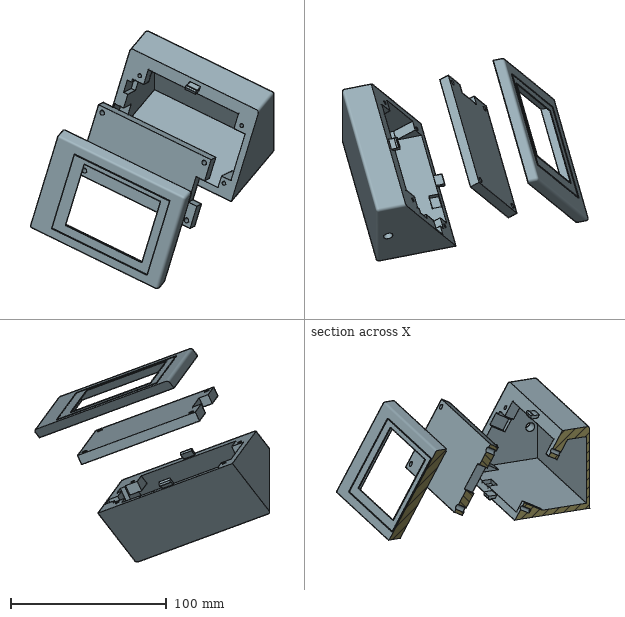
import cadquery as cq
import math

WIDTH = 98.0
HEIGHT = 57.4
TOTAL_DEPTH = 139.9
SLOPE = math.radians(60.0)
EDGE_RADIUS = 2.0
HALF_WIDTH = WIDTH / 2
SLOPE_RUN = HEIGHT / math.tan(SLOPE)

BOARD_LEFT = -41.4
BOARD_WIDTH = 85.9
BOARD_RIGHT = BOARD_LEFT + BOARD_WIDTH
BOARD_LENGTH = 50.2
BOARD_THICKNESS = 6.6
BOARD_TOP_Y = -69.2
BOARD_TOP_Z = 55.8
BOARD_HOLE_DIAMETER = 3.2
HOLE_INSET = 4.0
NOTCH_WIDTH = 6.6
NOTCH_LENGTH = 18.6
NOTCH_FROM_TOP = 15.4

HOUSING_DEPTH = 52.3
HOUSING_FRONT = -HOUSING_DEPTH
FLOOR_Z = 4.2
CEILING_Z = 50.2
BACK_WALL = 2.5

POST_WIDTH = 8.5
LOWER_RIGHT_POST_WIDTH = 7.1
UPPER_POST_DEPTH = 6.9
UPPER_POST_BOTTOM_Z = 40.8
LOWER_POST_TOP_Z = 11.5
SCREW_HOLE_DIAMETER = 2.5
SCREW_HOLE_DEPTH = UPPER_POST_DEPTH
SCREW_HOLE_HEIGHTS = (8.1, 44.6)

SIDE_SLOTS = ((-44.6, 31.2), (-48.1, 14.8))
SIDE_SLOT_RISE = 7.7
SIDE_SLOT_DEPTH = 10.5

CABLE_HOLE_DIAMETER = 6.0
CABLE_HOLE_Y = -7.5
CABLE_HOLE_Z = 26.5

POCKET_LEFT = -19.9
POCKET_WIDTH = 10.1
POCKET_BACK_Y = -43.6
POCKET_LENGTH = 6.5
POCKET_BOTTOM_Z = 1.3

HOOK_X = 1.3
HOOK_WIDTH = 8.0
HOOK_THICKNESS = 2.1
HOOK_ROOT_DEPTH = 2.8
BARB_LENGTH = 2.1
BARB_HEIGHT = 0.8
UPPER_HOOK_TOP_Z = 55.0
UPPER_HOOK_TIP_Y = -26.3
LOWER_HOOK_BOTTOM_Z = 1.8
LOWER_HOOK_TIP_Y = -55.8

COVER_FRONT = -TOTAL_DEPTH
COVER_THICKNESS = 7.0

PANEL_LEFT = -33.9
PANEL_RIGHT = 38.9
PANEL_BOTTOM_Z = 4.9
PANEL_TOP_Z = 51.6
PANEL_THICKNESS = 0.5
WINDOW_LEFT = -25.3
WINDOW_RIGHT = 32.9
WINDOW_BOTTOM_Z = 10.4
WINDOW_TOP_Z = 49.0


def slope_y(y_at_bottom, z):
    """Y of a sloped face at height z, given its Y at Z = 0."""
    return y_at_bottom + z / math.tan(SLOPE)


def level_thickness(thickness):
    """Thickness of a sloped plate measured along Y."""
    return thickness / math.sin(SLOPE)


def prism(points, x_min, x_max):
    """Extrude a Y-Z outline from x_min to x_max."""
    return cq.Workplane("YZ", origin=(x_min, 0, 0)).polyline(points).close().extrude(x_max - x_min)


def slope_plane(y, z):
    """Plane parallel to the sloped faces: local x along X, local y up the slope, normal outward."""
    return cq.Plane(origin=(0, y, z), xDir=(1, 0, 0), normal=(0, -math.sin(SLOPE), math.cos(SLOPE)))


def slope_block(y_at_bottom, x_min, x_max, z_min, z_max, depth):
    """Block sunk square into a sloped face, between two heights on that face."""
    length = (z_max - z_min) / math.sin(SLOPE)
    return (
        cq.Workplane(slope_plane(slope_y(y_at_bottom, z_min), z_min))
        .moveTo(x_min, 0)
        .rect(x_max - x_min, length, centered=False)
        .extrude(-depth)
    )


def sloped_plate(y_at_bottom, thickness, x_min, x_max, z_min, z_max):
    """Plate behind a sloped face, with level top and bottom edges."""
    front_low = slope_y(y_at_bottom, z_min)
    front_high = slope_y(y_at_bottom, z_max)
    run = level_thickness(thickness)
    outline = [(front_low, z_min), (front_low + run, z_min), (front_high + run, z_max), (front_high, z_max)]
    return prism(outline, x_min, x_max)


def housing_block():
    outline = [(0, 0), (HOUSING_FRONT, 0), (HOUSING_FRONT + SLOPE_RUN, HEIGHT), (0, HEIGHT)]
    block = prism(outline, -HALF_WIDTH, HALF_WIDTH)
    return block.edges("(>Y and |Z) or (>Y and >Z) or (>Z and (<X or >X))").fillet(EDGE_RADIUS)


def upper_post(x_min, x_max):
    return slope_block(HOUSING_FRONT, x_min, x_max, UPPER_POST_BOTTOM_Z, HEIGHT, UPPER_POST_DEPTH)


def lower_post(x_min, x_max):
    """Post whose top runs square to the sloped face, down to the cavity floor."""
    top_front = slope_y(HOUSING_FRONT, LOWER_POST_TOP_Z)
    back_y = top_front + (LOWER_POST_TOP_Z - FLOOR_Z) * math.tan(SLOPE)
    outline = [(HOUSING_FRONT, 0), (top_front, LOWER_POST_TOP_Z), (back_y, FLOOR_Z), (back_y, 0)]
    return prism(outline, x_min, x_max)


def housing_cavity():
    """Open space inside the housing: a level cavity less the four corner posts."""
    outline = [
        (-BACK_WALL, FLOOR_Z),
        (slope_y(HOUSING_FRONT, FLOOR_Z), FLOOR_Z),
        (slope_y(HOUSING_FRONT, CEILING_Z), CEILING_Z),
        (-BACK_WALL, CEILING_Z),
    ]
    cavity = prism(outline, BOARD_LEFT, BOARD_RIGHT)
    return (
        cavity.cut(upper_post(BOARD_LEFT, BOARD_LEFT + POST_WIDTH))
        .cut(upper_post(BOARD_RIGHT - POST_WIDTH, BOARD_RIGHT))
        .cut(lower_post(BOARD_LEFT, BOARD_LEFT + POST_WIDTH))
        .cut(lower_post(BOARD_RIGHT - LOWER_RIGHT_POST_WIDTH, BOARD_RIGHT))
    )


def screw_hole(x, z):
    plane = slope_plane(slope_y(HOUSING_FRONT, z), z)
    return cq.Workplane(plane).center(x, 0).circle(SCREW_HOLE_DIAMETER / 2).extrude(-SCREW_HOLE_DEPTH)


def side_slot(outer_x, low_z):
    return slope_block(HOUSING_FRONT, outer_x, BOARD_LEFT, low_z, low_z + SIDE_SLOT_RISE, SIDE_SLOT_DEPTH)


def cable_hole():
    circle = cq.Workplane("YZ").center(CABLE_HOLE_Y, CABLE_HOLE_Z).circle(CABLE_HOLE_DIAMETER / 2)
    return circle.extrude(-HALF_WIDTH)


def floor_pocket():
    front_y = POCKET_BACK_Y - POCKET_LENGTH
    pocket = cq.Workplane("XY").box(POCKET_WIDTH, POCKET_LENGTH, CEILING_Z - POCKET_BOTTOM_Z, centered=False)
    return pocket.translate((POCKET_LEFT, front_y, POCKET_BOTTOM_Z))


def hook(tip_y, barb_face_z, up):
    """Level arm pointing to -Y with a barb near its tip; up is 1 or -1, the side the barb is on."""
    root_y = slope_y(HOUSING_FRONT, barb_face_z) + HOOK_ROOT_DEPTH
    plain_face_z = barb_face_z - up * HOOK_THICKNESS
    outline = [
        (root_y, plain_face_z),
        (tip_y, plain_face_z),
        (tip_y, barb_face_z),
        (tip_y + BARB_LENGTH / 2, barb_face_z + up * BARB_HEIGHT),
        (tip_y + BARB_LENGTH, barb_face_z),
        (root_y, barb_face_z),
    ]
    return prism(outline, HOOK_X - HOOK_WIDTH / 2, HOOK_X + HOOK_WIDTH / 2)


def make_housing():
    body = housing_block().cut(housing_cavity())
    for outer_x, low_z in SIDE_SLOTS:
        body = body.cut(side_slot(outer_x, low_z))
    for x in (BOARD_LEFT + HOLE_INSET, BOARD_RIGHT - HOLE_INSET):
        for z in SCREW_HOLE_HEIGHTS:
            body = body.cut(screw_hole(x, z))
    body = body.cut(cable_hole()).cut(floor_pocket())
    body = body.union(hook(UPPER_HOOK_TIP_Y, UPPER_HOOK_TOP_Z, 1))
    return body.union(hook(LOWER_HOOK_TIP_Y, LOWER_HOOK_BOTTOM_Z, -1))


def make_board():
    """Tilted plate with four corner holes and a notch in its right edge."""
    face = slope_plane(BOARD_TOP_Y, BOARD_TOP_Z)
    plate = (
        cq.Workplane(face)
        .moveTo(BOARD_LEFT, -BOARD_LENGTH)
        .rect(BOARD_WIDTH, BOARD_LENGTH, centered=False)
        .extrude(-BOARD_THICKNESS)
    )
    notch = (
        cq.Workplane(face)
        .moveTo(BOARD_RIGHT - NOTCH_WIDTH, -NOTCH_FROM_TOP - NOTCH_LENGTH)
        .rect(NOTCH_WIDTH, NOTCH_LENGTH, centered=False)
        .extrude(-BOARD_THICKNESS)
    )
    holes = (
        cq.Workplane(face)
        .center((BOARD_LEFT + BOARD_RIGHT) / 2, -BOARD_LENGTH / 2)
        .rect(BOARD_WIDTH - 2 * HOLE_INSET, BOARD_LENGTH - 2 * HOLE_INSET, forConstruction=True)
        .vertices()
        .circle(BOARD_HOLE_DIAMETER / 2)
        .extrude(-BOARD_THICKNESS)
    )
    return plate.cut(notch).cut(holes)


def make_cover():
    """Sloped plate with rounded outer edges and a level opening for the panel."""
    plate = sloped_plate(COVER_FRONT, COVER_THICKNESS, -HALF_WIDTH, HALF_WIDTH, 0, HEIGHT)
    top_edges = plate.faces(">Z").edges("<Y or <X or >X")
    outermost = cq.selectors.DirectionMinMaxSelector(slope_plane(0, 0).zDir)
    front_side_edges = plate.faces(outermost).edges("<X or >X")
    plate = top_edges.add(front_side_edges).fillet(EDGE_RADIUS)

    upright_z = HEIGHT - EDGE_RADIUS
    upright_y = slope_y(COVER_FRONT, upright_z) + level_thickness(COVER_THICKNESS)
    trim = [(COVER_FRONT, 0), (upright_y, 0), (upright_y, HEIGHT), (COVER_FRONT, HEIGHT)]
    plate = plate.intersect(prism(trim, -HALF_WIDTH, HALF_WIDTH))

    opening = [
        (COVER_FRONT, PANEL_BOTTOM_Z),
        (upright_y, PANEL_BOTTOM_Z),
        (upright_y, PANEL_TOP_Z),
        (COVER_FRONT, PANEL_TOP_Z),
    ]
    return plate.cut(prism(opening, PANEL_LEFT, PANEL_RIGHT))


def make_panel():
    """Thin sheet flush with the cover's front, with an off-center window cut square through it."""
    sheet = sloped_plate(COVER_FRONT, PANEL_THICKNESS, PANEL_LEFT, PANEL_RIGHT, PANEL_BOTTOM_Z, PANEL_TOP_Z)
    window = slope_block(
        COVER_FRONT, WINDOW_LEFT, WINDOW_RIGHT, WINDOW_BOTTOM_Z, WINDOW_TOP_Z, PANEL_THICKNESS
    )
    return sheet.cut(window)


housing = make_housing()
board = make_board()
cover = make_cover()
panel = make_panel()

result = cq.Compound.makeCompound([housing.val(), board.val(), cover.val(), panel.val()])